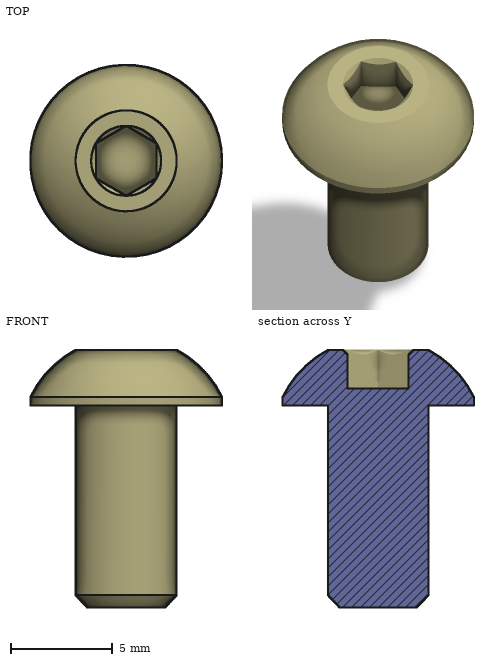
import cadquery as cq
import math

head_diameter = 9.5
head_height = 2.75
head_top_diameter = 5.0
rim_height = 0.41

shank_diameter = 5.0
shank_length = 10.0
tip_diameter = 3.82
tip_chamfer_height = 0.62

socket_across_flats = 3.0
socket_across_corners = socket_across_flats / math.cos(math.radians(30))
socket_depth = 1.9
socket_countersink_angle = 45.0


def dome_midpoint(start, end):
    """Middle of the dome arc from start to end, for a sphere centred on the Z axis."""
    centre_z = (end[0]**2 + end[1]**2 - start[0]**2 - start[1]**2) / (2 * (end[1] - start[1]))
    radius = math.hypot(start[0], start[1] - centre_z)
    start_angle = math.atan2(start[1] - centre_z, start[0])
    end_angle = math.atan2(end[1] - centre_z, end[0])
    middle_angle = (start_angle + end_angle) / 2
    return (radius * math.cos(middle_angle), centre_z + radius * math.sin(middle_angle))


def screw_body():
    """Head and shank, revolved about Z from one half profile."""
    rim_top = (head_diameter / 2, rim_height)
    dome_top = (head_top_diameter / 2, head_height)
    return (
        cq.Workplane("XZ")
        .moveTo(0, -shank_length)
        .lineTo(tip_diameter / 2, -shank_length)
        .lineTo(shank_diameter / 2, tip_chamfer_height - shank_length)
        .lineTo(shank_diameter / 2, 0)
        .lineTo(head_diameter / 2, 0)
        .lineTo(*rim_top)
        .threePointArc(dome_midpoint(rim_top, dome_top), dome_top)
        .lineTo(0, head_height)
        .close()
        .revolve(360, (0, 0, 0), (0, 1, 0))
    )


def hex_socket():
    """Hexagonal prism sunk from the top face, with a flat floor."""
    return (
        cq.Workplane("XY", origin=(0, 0, head_height - socket_depth))
        .transformed(rotate=(0, 0, 90))
        .polygon(6, socket_across_corners)
        .extrude(socket_depth)
    )


def socket_countersink():
    """Entry cone that is as wide as the socket corners at the top face."""
    radius = socket_across_corners / 2
    depth = radius * math.tan(math.radians(socket_countersink_angle))
    cone = cq.Solid.makeCone(radius, 0, depth, cq.Vector(0, 0, head_height), cq.Vector(0, 0, -1))
    return cq.Workplane(cone)


result = screw_body().cut(hex_socket()).cut(socket_countersink())